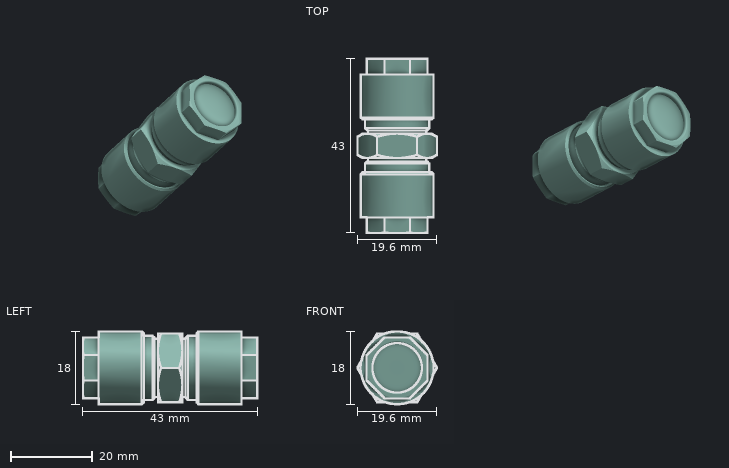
import cadquery as cq
import math

total_length = 43.0
half_length = total_length / 2

hex_across_flats = 17.0
hex_half_thickness = 3.0
hex_chamfer_angle = 30.0

neck_radius = 7.2
body_radius = 7.95
neck_end = 3.8
body_chamfer = 0.6

nut_radius = 9.0
nut_inner_face = 6.5
nut_chamfer = 0.5
nut_countersink = 0.4
nut_outer_face = 17.6
octagon_across_flats = 15.0
octagon_chamfer_angle = 15.0

recess_radius = 6.1
recess_mouth_round = 0.5
recess_depth = 1.0


def revolve_profile(points):
    """Revolve a closed (radius, y) outline about the Y axis."""
    return cq.Workplane("XY").polyline(points).close().revolve(360, (0, 0), (0, 1))


def prism(sides, across_flats, start, end, first_corner):
    """Regular prism along Y with its first corner at the given angle from +X."""
    corner_radius = across_flats / 2 / math.cos(math.pi / sides)
    angles = [math.radians(first_corner + 360 * i / sides) for i in range(sides)]
    corners = [(corner_radius * math.cos(a), corner_radius * math.sin(a)) for a in angles]
    plane = cq.Plane(origin=(0, start, 0), xDir=(1, 0, 0), normal=(0, 1, 0))
    return cq.Workplane(plane).polyline(corners).close().extrude(end - start)


def corner_cone(sides, across_flats, start, face, angle):
    """Round envelope whose conical end trims prism corners down to the flats at the end face."""
    flat_radius = across_flats / 2
    outer_radius = across_flats / 2 / math.cos(math.pi / sides) + 1
    cone_start = face - (outer_radius - flat_radius) * math.tan(math.radians(angle))
    return revolve_profile([
        (0, start),
        (outer_radius, start),
        (outer_radius, cone_start),
        (flat_radius, face),
        (0, face),
    ])


def make_hexagon():
    half = prism(6, hex_across_flats, 0, hex_half_thickness, 0).intersect(
        corner_cone(6, hex_across_flats, 0, hex_half_thickness, hex_chamfer_angle)
    )
    return half.union(half.mirror("XZ"))


def make_body_and_sleeve():
    return revolve_profile([
        (0, 0),
        (neck_radius, 0),
        (neck_radius, neck_end),
        (body_radius - body_chamfer, neck_end),
        (body_radius, neck_end + body_chamfer),
        (body_radius, nut_inner_face + nut_countersink),
        (body_radius + nut_countersink, nut_inner_face),
        (nut_radius - nut_chamfer, nut_inner_face),
        (nut_radius, nut_inner_face + nut_chamfer),
        (nut_radius, nut_outer_face),
        (0, nut_outer_face),
    ])


def make_octagon():
    blank = prism(8, octagon_across_flats, nut_outer_face, half_length, 180 / 8)
    cone = corner_cone(8, octagon_across_flats, nut_outer_face, half_length, octagon_chamfer_angle)
    return blank.intersect(cone)


def make_recess():
    floor = half_length - recess_depth
    mouth_radius = recess_radius + recess_mouth_round
    round_start = half_length - recess_mouth_round
    arc_offset = recess_mouth_round * math.sqrt(0.5)
    arc_middle = (mouth_radius - arc_offset, round_start + arc_offset)
    outline = (
        cq.Workplane("XY")
        .moveTo(0, floor)
        .lineTo(recess_radius, floor)
        .lineTo(recess_radius, round_start)
        .threePointArc(arc_middle, (mouth_radius, half_length))
        .lineTo(0, half_length)
        .close()
    )
    return outline.revolve(360, (0, 0), (0, 1))


fitting_half = make_body_and_sleeve().union(make_octagon()).cut(make_recess())
result = make_hexagon().union(fitting_half).union(fitting_half.mirror("XZ"))